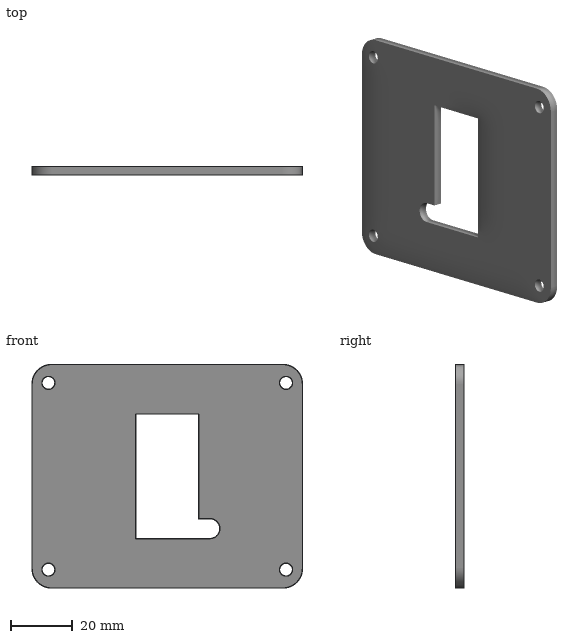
import cadquery as cq

width = 87.5
height = 72.4
thickness = 2.9
corner_radius = 6.4

hole_diameter = 4.1
hole_spacing_x = 76.9
hole_spacing_z = 60.4

window_width = 20.3
window_height = 40.3
notch_height = 6.4
notch_reach = 17.0


def make_plate():
    plate = cq.Workplane("XZ").box(width, height, thickness)
    return plate.edges("|Y").fillet(corner_radius)


def cut_mounting_holes(plate):
    face = plate.faces("<Y").workplane(origin=(0, 0, 0))
    return face.rarray(hole_spacing_x, hole_spacing_z, 2, 2).hole(hole_diameter)


def cut_window(plate):
    side = window_width / 2
    top = window_height / 2
    notch_radius = notch_height / 2
    notch_center_x = notch_reach - notch_radius
    notch_top = -top + notch_height
    window = (
        cq.Workplane("XZ")
        .moveTo(-side, -top)
        .lineTo(notch_center_x, -top)
        .threePointArc((notch_reach, -top + notch_radius), (notch_center_x, notch_top))
        .lineTo(side, notch_top)
        .lineTo(side, top)
        .lineTo(-side, top)
        .close()
        .extrude(thickness, both=True)
    )
    return plate.cut(window)


result = cut_window(cut_mounting_holes(make_plate()))